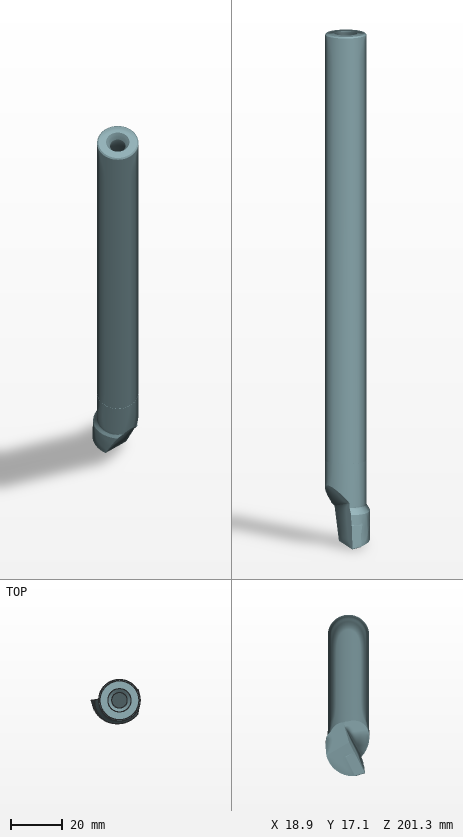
import cadquery as cq
import math


overall_length = 201.25
shank_diameter = 15.98
neck_diameter = 16.09
neck_radius = neck_diameter / 2
neck_top = 33.2
end_chamfer = 0.5

bore_diameter = 6.0
bore_depth = 30.0
cone_mouth_diameter = 9.0
cone_angle = 60.0

overall_width = 18.94
tip_x = neck_radius - overall_width
inscribed_circle = 9.525
corner_angle = 80.0
nose_radius = 0.4
insert_thickness = 3.97
relief_angle = 7.0
rake_tilt = 9.0
edge_lean = (90.0 - corner_angle) / 2
insert_side = inscribed_circle / math.sin(math.radians(corner_angle))

overall_depth = 17.14
head_front_y = neck_radius - overall_depth
head_axis_x = -0.8
upright_radius = 10.2
block_side_radius = 8.7
block_lean = 3.3
block_front_gap = 0.01
block_axis_x = -0.7
flare_top = 15.8
flare_angle = 32.0
back_slope_start = 17.4
back_slope_angle = 18.5
bottom_relief_angle = 9.0
bottom_setback = 0.15

scoop_start = (7.0, 5.3, 17.0)
scoop_angle = 38.0
scoop_tilt = 20.0

cutter_size = 60.0


def tangent(degrees):
    return math.tan(math.radians(degrees))


def rake_plane():
    """Plane of the rake face at the tip: local X along the face, local Y up, normal into the head."""
    tilt = math.radians(rake_tilt)
    return cq.Plane(
        origin=(tip_x, 0, 0),
        xDir=(math.cos(tilt), math.sin(tilt), 0),
        normal=(math.sin(tilt), -math.cos(tilt), 0),
    )


def make_insert():
    corner_to_nose_center = nose_radius / math.sin(math.radians(corner_angle / 2))
    corner_offset = nose_radius - corner_to_nose_center * math.cos(math.radians(45))
    long_step = insert_side * math.cos(math.radians(edge_lean))
    short_step = insert_side * math.sin(math.radians(edge_lean))
    rhombus = [
        (0, 0),
        (long_step, short_step),
        (long_step + short_step, long_step + short_step),
        (short_step, long_step),
    ]
    blank = (
        cq.Workplane(rake_plane())
        .center(corner_offset, corner_offset)
        .polyline(rhombus)
        .close()
        .extrude(insert_thickness, taper=relief_angle)
    )
    steep_share = 0.9
    corner_edges = [edge for edge in blank.val().Edges() if abs(edge.tangentAt(0).y) > steep_share]
    return cq.Workplane(blank.val().fillet(nose_radius, corner_edges))


def make_shank():
    shank = (
        cq.Workplane("XY", origin=(0, 0, neck_top))
        .circle(shank_diameter / 2)
        .extrude(overall_length - neck_top)
        .faces(">Z")
        .chamfer(end_chamfer)
    )
    neck = cq.Workplane("XY", origin=(0, 0, flare_top)).circle(neck_radius).extrude(neck_top - flare_top)
    return shank.union(neck)


def cut_bore(bar):
    bore_radius = bore_diameter / 2
    mouth_radius = cone_mouth_diameter / 2
    cone_depth = (mouth_radius - bore_radius) / tangent(cone_angle / 2)
    bore = (
        cq.Workplane("XZ")
        .moveTo(0, overall_length)
        .lineTo(mouth_radius, overall_length)
        .lineTo(bore_radius, overall_length - cone_depth)
        .lineTo(bore_radius, overall_length - bore_depth)
        .lineTo(0, overall_length - bore_depth)
        .close()
        .revolve(360, (0, 0, 0), (0, 1, 0))
    )
    return bar.cut(bore)


def make_leaning_block():
    """Block that is round towards -X and leans towards -X on its way down."""
    front_y = head_front_y - block_front_gap
    back_y = front_y + 2 * block_side_radius
    middle_y = front_y + block_side_radius
    lean_shift = flare_top * tangent(block_lean)
    outline = (
        cq.Workplane("XY")
        .moveTo(block_axis_x, front_y)
        .lineTo(cutter_size, front_y)
        .lineTo(cutter_size, back_y)
        .lineTo(block_axis_x, back_y)
        .threePointArc((block_axis_x - block_side_radius, middle_y), (block_axis_x, front_y))
        .close()
        .val()
    )
    bottom = outline.translate(cq.Vector(-lean_shift, 0, 0))
    top = outline.translate(cq.Vector(0, 0, flare_top))
    return cq.Workplane(cq.Solid.makeLoft([bottom, top], True))


def make_head():
    upright = (
        cq.Workplane("XY")
        .center(head_axis_x, head_front_y + upright_radius)
        .circle(upright_radius)
        .extrude(flare_top)
    )
    cone_base_radius = neck_radius + flare_top * tangent(flare_angle)
    flare_cone = cq.Workplane(cq.Solid.makeCone(cone_base_radius, neck_radius, flare_top))
    return upright.intersect(make_leaning_block()).intersect(flare_cone)


def trim_back(bar):
    """Cut the sloping back of the head on +X."""
    back_run = back_slope_start * tangent(back_slope_angle)
    back = (
        cq.Workplane("XZ")
        .moveTo(neck_radius, back_slope_start)
        .lineTo(neck_radius - back_run, 0)
        .lineTo(cutter_size, 0)
        .lineTo(cutter_size, back_slope_start)
        .close()
        .extrude(cutter_size, both=True)
    )
    return bar.cut(back)


def trim_flank(bar):
    """Cut the head back flush with the insert's -X flank."""
    flank_run = insert_side * tangent(edge_lean)
    flank = (
        cq.Workplane("XZ")
        .moveTo(0, 0)
        .lineTo(flank_run, insert_side)
        .lineTo(-cutter_size, insert_side)
        .lineTo(-cutter_size, 0)
        .close()
        .extrude(cutter_size, both=True)
        .rotate((0, 0, 0), (0, 0, 1), rake_tilt + relief_angle)
        .translate((tip_x, 0, 0))
    )
    return bar.cut(flank)


def trim_bottom(bar):
    """Cut the end face, which rises towards +X along the insert edge and towards -Y for relief."""
    cutter = (
        cq.Workplane("XY")
        .box(cutter_size, cutter_size, cutter_size, centered=(True, True, False))
        .translate((0, 0, -cutter_size))
        .rotate((0, 0, 0), (1, 0, 0), -bottom_relief_angle)
        .rotate((0, 0, 0), (0, 1, 0), -edge_lean)
        .translate((tip_x, 0, bottom_setback))
    )
    return bar.cut(cutter)


def cut_chip_space(bar):
    """Remove everything in front of both the rake face and the sloping scoop."""
    rake_side = cq.Workplane(rake_plane()).rect(2 * cutter_size, 2 * cutter_size).extrude(-cutter_size)
    scoop_side = (
        cq.Workplane("XY")
        .box(cutter_size, cutter_size, 2 * cutter_size, centered=(True, False, True))
        .rotate((0, 0, 0), (1, 0, 0), -scoop_angle)
        .rotate((0, 0, 0), (0, 0, 1), scoop_tilt)
        .translate(scoop_start)
    )
    return bar.cut(rake_side.intersect(scoop_side))


insert = make_insert()
bar = cut_bore(make_shank()).union(make_head())
bar = cut_chip_space(trim_bottom(trim_flank(trim_back(bar))))
bar = bar.cut(insert)

result = cq.Compound.makeCompound([bar.val(), insert.val()])